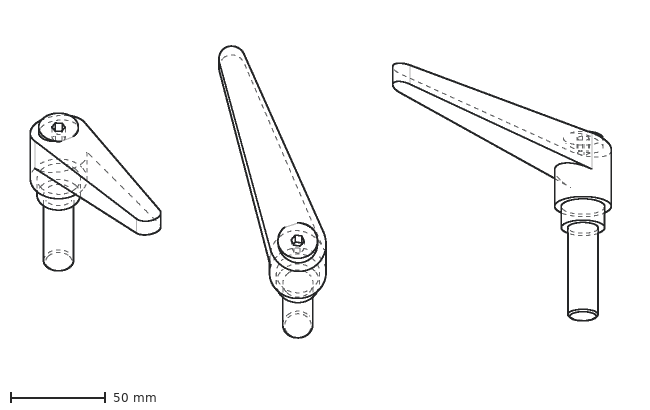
import math

import cadquery as cq


stud_diameter = 16.0
stud_length = 50.0
stud_chamfer = 1.0
collar_diameter = 23.0
collar_height = 12.0

hub_diameter = 30.0
hub_base_z = stud_length + collar_height
tip_radius = 7.0
reach = 108.0
lever_top_z = 126.9
top_angle = 15.0
underside_angle = 20.0
tip_thickness = 10.2

cap_diameter = 21.0
cap_top_z = 100.6
socket_sides = 6
socket_across_flats = 6.0
socket_depth = 8.0
socket_cone_angle = 118.0

hub_radius = hub_diameter / 2
tip_center_x = reach - tip_radius


def lever_top_at(x):
    """Height of the sloping top plane of hub and arm."""
    return lever_top_z - (reach - x) * math.tan(math.radians(top_angle))


def arm_underside_at(x):
    """Height of the steeper underside plane of the arm."""
    tip_underside_z = lever_top_z - tip_thickness
    return tip_underside_z - (reach - x) * math.tan(math.radians(underside_angle))


def side_profile(points):
    """Solid slab of the given X-Z outline, as wide as the hub."""
    return cq.Workplane("XZ").polyline(points).close().extrude(hub_radius, both=True)


def make_stud():
    stud = cq.Workplane("XY").circle(stud_diameter / 2).extrude(hub_base_z)
    stud = stud.faces("<Z").chamfer(stud_chamfer)
    collar = (
        cq.Workplane("XY", origin=(0, 0, stud_length))
        .circle(collar_diameter / 2)
        .extrude(collar_height)
    )
    return stud.union(collar)


def make_hub():
    blank = (
        cq.Workplane("XY", origin=(0, 0, hub_base_z))
        .circle(hub_radius)
        .extrude(lever_top_z - hub_base_z)
    )
    envelope = side_profile([
        (-hub_radius, hub_base_z),
        (hub_radius, hub_base_z),
        (hub_radius, lever_top_at(hub_radius)),
        (-hub_radius, lever_top_at(-hub_radius)),
    ])
    return blank.intersect(envelope)


def make_arm():
    flank_sine = (hub_radius - tip_radius) / tip_center_x
    flank_cosine = math.sqrt(1 - flank_sine**2)
    hub_tangent = (hub_radius * flank_sine, hub_radius * flank_cosine)
    tip_tangent = (tip_center_x + tip_radius * flank_sine, tip_radius * flank_cosine)
    plan = (
        cq.Workplane("XY")
        .moveTo(hub_tangent[0], -hub_tangent[1])
        .lineTo(tip_tangent[0], -tip_tangent[1])
        .threePointArc((reach, 0), tip_tangent)
        .lineTo(*hub_tangent)
        .close()
        .extrude(lever_top_z)
    )
    start_x = hub_tangent[0]
    envelope = side_profile([
        (start_x, arm_underside_at(start_x)),
        (reach, arm_underside_at(reach)),
        (reach, lever_top_z),
        (start_x, lever_top_at(start_x)),
    ])
    return plan.intersect(envelope)


def make_cap():
    return (
        cq.Workplane("XY", origin=(0, 0, hub_base_z))
        .circle(cap_diameter / 2)
        .extrude(cap_top_z - hub_base_z)
    )


def make_socket():
    """Hexagonal cutter, corners on the X axis, ending in a conical point."""
    across_corners = socket_across_flats / math.cos(math.pi / socket_sides)
    corner_radius = across_corners / 2
    point_depth = corner_radius / math.tan(math.radians(socket_cone_angle / 2))
    total_depth = socket_depth + point_depth
    prism = (
        cq.Workplane("XY", origin=(0, 0, cap_top_z - total_depth))
        .polygon(socket_sides, across_corners)
        .extrude(total_depth)
    )
    pointed_bore = (
        cq.Workplane("XZ")
        .moveTo(0, cap_top_z - total_depth)
        .lineTo(corner_radius, cap_top_z - socket_depth)
        .lineTo(corner_radius, cap_top_z)
        .lineTo(0, cap_top_z)
        .close()
        .revolve(360, (0, 0), (0, 1))
    )
    return prism.intersect(pointed_bore)


lever = make_hub().union(make_arm())
result = make_stud().union(lever).union(make_cap()).cut(make_socket())